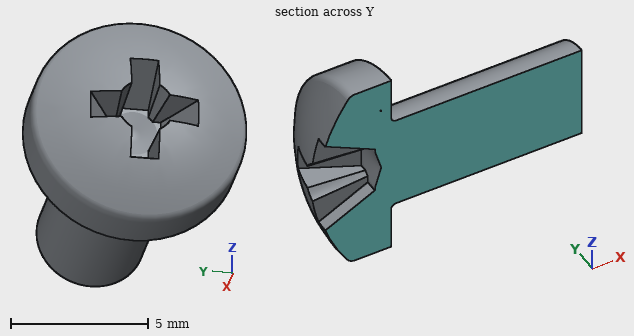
import cadquery as cq
import math

head_diameter = 8.0
head_height = 3.1
dome_radius = 6.5
rim_fillet_radius = 0.4
shank_diameter = 4.0
shank_length = 8.0
neck_fillet_radius = 0.2

wing_span = 4.0
wing_width = 1.04
wing_floor_span = 1.95
recess_depth = 2.4
core_mouth_radius = 1.03
core_floor_radius = 0.86
tip_cone_slope = math.radians(17)
cut_clearance = 0.5

head_radius = head_diameter / 2
shank_radius = shank_diameter / 2
apex_x = -head_height
floor_x = apex_x + recess_depth


def dome_x(radius):
    """X of the dome surface at a given distance from the axis."""
    return apex_x + dome_radius - math.sqrt(dome_radius**2 - radius**2)


def revolve_about_x(profile):
    """Close a profile along the X axis and spin it into a solid."""
    return profile.close().revolve(360, (0, 0, 0), (1, 0, 0))


def extend_to_mouth(x_outer, r_outer, r_floor):
    """Radius of a straight tapered side, carried out to the cutter mouth."""
    taper = (r_outer - r_floor) / (floor_x - x_outer)
    return r_floor + taper * (recess_depth + cut_clearance)


def make_body():
    """Domed head and plain shank as one revolved solid."""
    dome_center_x = apex_x + dome_radius
    fillet_center_r = head_radius - rim_fillet_radius
    center_distance = dome_radius - rim_fillet_radius
    fillet_center_x = dome_center_x - math.sqrt(center_distance**2 - fillet_center_r**2)
    dome_edge_r = fillet_center_r * dome_radius / center_distance
    dome_edge = (dome_x(dome_edge_r), dome_edge_r)
    dome_middle_r = dome_edge_r / 2
    dome_middle = (dome_x(dome_middle_r), dome_middle_r)

    edge_angle = math.asin(fillet_center_r / center_distance)
    fillet_angle = (edge_angle + math.pi / 2) / 2
    fillet_middle = (
        fillet_center_x - rim_fillet_radius * math.cos(fillet_angle),
        fillet_center_r + rim_fillet_radius * math.sin(fillet_angle),
    )
    neck_middle_offset = neck_fillet_radius * (1 - math.sqrt(0.5))
    neck_middle = (neck_middle_offset, shank_radius + neck_middle_offset)

    return revolve_about_x(
        cq.Workplane("XY")
        .moveTo(apex_x, 0)
        .threePointArc(dome_middle, dome_edge)
        .threePointArc(fillet_middle, (fillet_center_x, head_radius))
        .lineTo(0, head_radius)
        .lineTo(0, shank_radius + neck_fillet_radius)
        .threePointArc(neck_middle, (neck_fillet_radius, shank_radius))
        .lineTo(shank_length, shank_radius)
        .lineTo(shank_length, 0)
    )


def make_recess_core():
    """Slightly tapered round core that ends in a shallow cone."""
    mouth_radius = extend_to_mouth(dome_x(core_mouth_radius), core_mouth_radius, core_floor_radius)
    tip_x = floor_x + core_floor_radius * math.tan(tip_cone_slope)
    mouth_x = apex_x - cut_clearance
    return revolve_about_x(
        cq.Workplane("XY")
        .moveTo(mouth_x, 0)
        .lineTo(mouth_x, mouth_radius)
        .lineTo(floor_x, core_floor_radius)
        .lineTo(tip_x, 0)
    )


def make_wing_pair():
    """Two opposite wings along Y, with sloped ends and parallel sides."""
    tip_r = wing_span / 2
    floor_r = wing_floor_span / 2
    mouth_r = extend_to_mouth(dome_x(tip_r), tip_r, floor_r)
    mouth_x = apex_x - cut_clearance
    outline = [(mouth_x, -mouth_r), (mouth_x, mouth_r), (floor_x, floor_r), (floor_x, -floor_r)]
    return cq.Workplane("XY").polyline(outline).close().extrude(wing_width / 2, both=True)


wing_pair = make_wing_pair()
crossing_wing_pair = wing_pair.rotate((0, 0, 0), (1, 0, 0), 90)
recess = make_recess_core().union(wing_pair).union(crossing_wing_pair)
result = make_body().cut(recess)